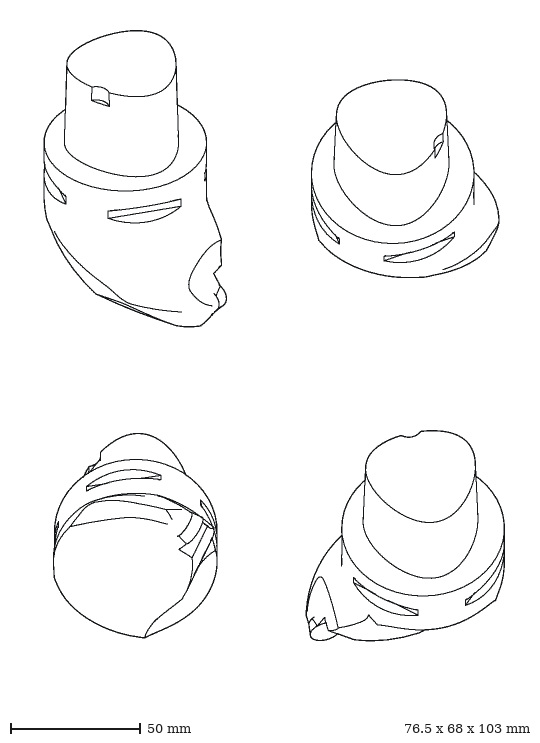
import cadquery as cq
import math

shank_length = 38.0
shank_mean_radius = 22.12
lobe_height = 1.5
shank_end_inset = shank_length / 40
stretch_count = 6
stretch_points = 8

notch_width = 8.0
notch_depth = 1.85
notch_height = 6.4

flange_radius = 63 / 2
flange_bottom = -27.1

groove_floor_width = 3.5
groove_depth = 3.6
groove_flank_angle = 30.0
groove_z = -12.0
groove_count = 4

neck_slope = 32.0
neck_fillet_bottom = -32.7
cone_bottom = -40.7
bulge_middle = (42.2, -48.2)
bulge_end = (45.25, -59.0)
head_bottom = -70.0
clear = 60.0

insert_radius = 6.0
insert_thickness = 4.76
insert_relief = 7.0
insert_x = 39.0
insert_z = -59.0

under_slope = 30.0
underside_start_z = -24.45
front_wall_x = 36.6
pocket_fillet = 13.0

belly_y = -36.48
belly_start_x = 9.9
belly_end_x = 15.8
heel_radius = 43.0
heel_start_x = -18.2
heel_run_angle = 37.0
belly_round_radius = 17.5
belly_round_end_x = 22.3
flank_middle = (34.4, -26.6)
flank_end = (45.0, -7.0)

back_wall_y = 17.6
back_fillet = 14.0
back_top_z = -24.0
relief_top_z = -46.8
bevel_middle = (-31.3, -52.85)
bevel_end = (-24.3, -59.5)
relief_middle = (-17.3, -62.75)
relief_end = (-9.0, -64.45)

flute_start = 52.0
flute_middle = (70.4, 13.5)
flute_end_y = 6.2
flute_floor = 88.3
flute_reach = 200.0


def lobed_point(angle, inset):
    """Point on a rounded triangle with one lobe toward +Y, drawn in by inset."""
    reach = shank_mean_radius - inset
    return cq.Vector(
        reach * math.cos(angle) - lobe_height * math.sin(2 * angle),
        reach * math.sin(angle) - lobe_height * math.cos(2 * angle),
    )


def lobed_section(inset, z):
    """Closed wire of equal stretches, alternating between lobes and sides."""
    stretch = 2 * math.pi / stretch_count
    step = stretch / stretch_points
    edges = []
    for i in range(stretch_count):
        points = [lobed_point(i * stretch + j * step, inset) for j in range(stretch_points + 1)]
        edges.append(cq.Edge.makeSpline(points))
    return cq.Wire.assembleEdges(edges).moved(cq.Location(cq.Vector(0, 0, z)))


def make_shank():
    base = lobed_section(0, 0)
    end = lobed_section(shank_end_inset, shank_length)
    shank = cq.Workplane(cq.Solid.makeLoft([base, end], True))
    top_edge_y = lobe_height + shank_end_inset - shank_mean_radius
    notch_radius = ((notch_width / 2) ** 2 + notch_depth**2) / (2 * notch_depth)
    notch = (
        cq.Workplane("XY", origin=(0, top_edge_y + notch_depth - notch_radius, shank_length))
        .circle(notch_radius)
        .extrude(-notch_height)
    )
    return shank.cut(notch)


def make_turned_head():
    slope = math.radians(neck_slope)
    fillet_radius = (flange_bottom - neck_fillet_bottom) / math.sin(slope)
    fillet_center_x = flange_radius + fillet_radius
    fillet_end_x = fillet_center_x - fillet_radius * math.cos(slope)
    half = slope / 2
    fillet_middle = (
        fillet_center_x - fillet_radius * math.cos(half),
        flange_bottom - fillet_radius * math.sin(half),
    )
    cone_radius = fillet_end_x + (neck_fillet_bottom - cone_bottom) * math.tan(slope)
    neck = (
        cq.Workplane("XZ")
        .moveTo(0, flange_bottom)
        .lineTo(flange_radius, flange_bottom)
        .threePointArc(fillet_middle, (fillet_end_x, neck_fillet_bottom))
        .lineTo(cone_radius, cone_bottom)
        .threePointArc(bulge_middle, bulge_end)
        .lineTo(bulge_end[0], head_bottom)
        .lineTo(0, head_bottom)
        .close()
        .revolve(360, (0, 0, 0), (0, 1, 0))
        .intersect(make_plan_outline())
    )
    flange = cq.Workplane("XY").circle(flange_radius).extrude(flange_bottom)
    return flange.union(neck)


def make_plan_outline():
    """Upright walls on the -Y side: heel, belly flat and flank."""
    heel_center_y = belly_y + heel_radius
    heel_angle = math.asin((belly_start_x - heel_start_x) / heel_radius)
    heel_start_y = heel_center_y - heel_radius * math.cos(heel_angle)
    heel_middle = (
        belly_start_x - heel_radius * math.sin(heel_angle / 2),
        heel_center_y - heel_radius * math.cos(heel_angle / 2),
    )
    heel_line_y = heel_start_y + (heel_start_x + clear) * math.tan(math.radians(heel_run_angle))
    round_angle = math.asin((belly_round_end_x - belly_end_x) / belly_round_radius)
    round_center_y = belly_y + belly_round_radius
    round_middle = (
        belly_end_x + belly_round_radius * math.sin(round_angle / 2),
        round_center_y - belly_round_radius * math.cos(round_angle / 2),
    )
    round_end_y = round_center_y - belly_round_radius * math.cos(round_angle)
    return (
        cq.Workplane("XY")
        .moveTo(-clear, heel_line_y)
        .lineTo(heel_start_x, heel_start_y)
        .threePointArc(heel_middle, (belly_start_x, belly_y))
        .lineTo(belly_end_x, belly_y)
        .threePointArc(round_middle, (belly_round_end_x, round_end_y))
        .threePointArc(flank_middle, flank_end)
        .lineTo(clear, flank_end[1])
        .lineTo(clear, clear)
        .lineTo(-clear, clear)
        .close()
        .extrude(head_bottom)
    )


def make_grooves():
    flank = math.tan(math.radians(groove_flank_angle))
    floor_x = flange_radius - groove_depth
    half_floor = groove_floor_width / 2
    half_mouth = half_floor + 2 * groove_depth * flank
    mouth_x = flange_radius + groove_depth
    groove = (
        cq.Workplane("XZ", origin=(0, 0, groove_z))
        .polyline([
            (floor_x, -half_floor),
            (mouth_x, -half_mouth),
            (mouth_x, half_mouth),
            (floor_x, half_floor),
        ])
        .close()
        .extrude(flange_radius, both=True)
    )
    step = 360 / groove_count
    return [groove.rotate((0, 0, 0), (0, 0, 1), step * (i + 0.5)) for i in range(groove_count)]


def make_side_profile():
    slope = math.radians(under_slope)

    def underside_z(x):
        return underside_start_z - (x + flange_radius) * math.tan(slope)

    nose_radius = (insert_z - underside_z(insert_x)) * math.cos(slope)

    def nose_point(angle):
        return insert_x + nose_radius * math.cos(angle), insert_z + nose_radius * math.sin(angle)

    nose_bottom = nose_point(-math.pi / 2 - slope)
    nose_tip = nose_point(-slope)
    nose_top = nose_point(slope)
    corner_z = nose_top[1] + (nose_top[0] - front_wall_x) / math.tan(slope)
    tangent = pocket_fillet * math.tan(slope / 2)
    wall_foot = (front_wall_x, corner_z + tangent)
    face_top = (front_wall_x + tangent * math.sin(slope), corner_z - tangent * math.cos(slope))
    fillet_middle = (
        front_wall_x + pocket_fillet * (1 - math.cos(slope / 2)),
        wall_foot[1] - pocket_fillet * math.sin(slope / 2),
    )
    return (
        cq.Workplane("XZ")
        .moveTo(front_wall_x, 0)
        .lineTo(*wall_foot)
        .threePointArc(fillet_middle, face_top)
        .lineTo(*nose_top)
        .threePointArc(nose_tip, nose_bottom)
        .lineTo(-clear, underside_z(-clear))
        .lineTo(-clear, 0)
        .close()
        .extrude(clear, both=True)
    )


def make_end_profile():
    scoop_y = back_wall_y + back_fillet
    scoop_z = back_top_z - back_fillet
    diagonal = back_fillet * math.sqrt(0.5)
    return (
        cq.Workplane("YZ")
        .moveTo(clear, 0)
        .lineTo(clear, back_top_z)
        .lineTo(scoop_y, back_top_z)
        .threePointArc((scoop_y - diagonal, scoop_z + diagonal), (back_wall_y, scoop_z))
        .lineTo(back_wall_y, head_bottom)
        .lineTo(relief_end[0], head_bottom)
        .lineTo(*relief_end)
        .threePointArc(relief_middle, bevel_end)
        .threePointArc(bevel_middle, (belly_y, relief_top_z))
        .lineTo(-clear, relief_top_z)
        .lineTo(-clear, 0)
        .close()
        .extrude(clear, both=True)
    )


def make_flute():
    plane = cq.Plane(origin=(0, 0, 0), xDir=(1, 0, -1), normal=(1, 0, 1))
    to_plane = math.sqrt(0.5)
    floor_edge = flute_floor * to_plane
    return (
        cq.Workplane(plane)
        .moveTo(floor_edge, 0)
        .lineTo(floor_edge, flute_end_y)
        .threePointArc(
            (flute_middle[0] * to_plane, flute_middle[1]),
            (flute_start * to_plane, back_wall_y),
        )
        .lineTo(flute_start * to_plane, clear)
        .lineTo(flute_reach, clear)
        .lineTo(flute_reach, 0)
        .close()
        .extrude(flute_reach, both=True)
    )


def make_insert():
    base_radius = insert_radius - insert_thickness * math.tan(math.radians(insert_relief))
    return cq.Workplane(
        cq.Solid.makeCone(
            insert_radius,
            base_radius,
            insert_thickness,
            pnt=cq.Vector(insert_x, 0, insert_z),
            dir=cq.Vector(0, -1, 0),
        )
    )


def make_holder(cutting_insert):
    head = make_turned_head()
    for groove in make_grooves():
        head = head.cut(groove)
    head = head.intersect(make_side_profile()).intersect(make_end_profile())
    head = head.cut(make_flute()).cut(cutting_insert)
    return head.union(make_shank())


insert = make_insert()
holder = make_holder(insert)
result = cq.Compound.makeCompound([*holder.solids().vals(), insert.val()])